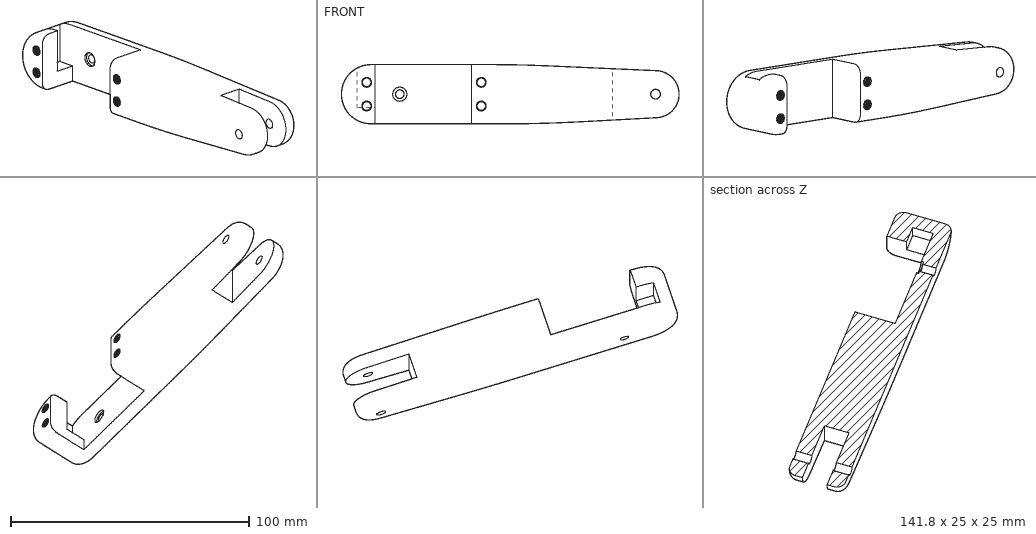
import cadquery as cq
import math

length = 141.8
width = 25.0
height = 25.0
edge_fillet = 4.0

butt_radius = height / 2
tip_radius = 9.9
butt_x = butt_radius
tip_x = length - tip_radius
upper_bend_x = 74.6
lower_bend_x = 84.5
bend_radius = 531.6

back_plate = 7.1
gap_start = 14.2
gap_end = 54.7

fork_start = 113.8
fork_front = 7.1
fork_back = 7.1

pocket_start = 6.5
pocket_width = 9.0
pocket_floor_z = -5.7

fork_hole_diameter = 4.0
plate_hole_x = 24.5
plate_hole_diameter = 3.5
counterbore_diameter = 6.0
counterbore_depth = 1.0

socket_x_positions = (10.6, 58.7)
socket_z = 5.0
socket_crest_diameter = 3.5
socket_root_diameter = 4.1
socket_pitch = 0.7
socket_turns = 7

front_y = -width / 2
back_y = width / 2
plate_face_y = back_y - back_plate


def taper_points(bend_x):
    """Start and end of the bend and the tangent point on the tip, for an upper flank."""
    run = tip_x - bend_x
    rise = height / 2
    slope = math.atan2(rise, run) - math.asin(tip_radius / math.hypot(run, rise))
    tangent_length = bend_radius * math.tan(slope / 2)
    bend_start = (bend_x - tangent_length, rise)
    bend_end = (bend_x + tangent_length * math.cos(slope), rise - tangent_length * math.sin(slope))
    tip_tangent = (tip_x + tip_radius * math.sin(slope), tip_radius * math.cos(slope))
    return bend_start, bend_end, tip_tangent


def mirrored(point):
    """The point reflected below the centre line."""
    return (point[0], -point[1])


def make_body():
    """Full outline extruded over the width, with rounded front and back rims."""
    upper_start, upper_end, upper_tip = taper_points(upper_bend_x)
    lower_start, lower_end, lower_tip = [mirrored(p) for p in taper_points(lower_bend_x)]
    outline = (
        cq.Workplane("XZ", origin=(0, back_y, 0))
        .moveTo(butt_x, butt_radius)
        .lineTo(*upper_start)
        .tangentArcPoint(upper_end, relative=False)
        .lineTo(*upper_tip)
        .threePointArc((length, 0), lower_tip)
        .lineTo(*lower_end)
        .tangentArcPoint(lower_start, relative=False)
        .lineTo(butt_x, -butt_radius)
        .threePointArc((0, 0), (butt_x, butt_radius))
        .close()
    )
    return outline.extrude(width).faces("<Y or >Y").edges().fillet(edge_fillet)


def block(x_range, y_range, z_range):
    """Axis-aligned box between the given limits."""
    size = [high - low for low, high in (x_range, y_range, z_range)]
    corner = (x_range[0], y_range[0], z_range[0])
    return cq.Workplane("XY").box(*size, centered=False).translate(corner)


def bore(x, z, diameter, start_y, depth):
    """Cylinder running from start_y towards the back."""
    axis = cq.Vector(0, 1, 0)
    return cq.Workplane(cq.Solid.makeCylinder(diameter / 2, depth, cq.Vector(x, start_y, z), axis))


def threaded_socket(x, z):
    """Cutter for one socket: a bore whose wall alternates between root and crest diameter."""
    root = socket_root_diameter / 2
    crest = socket_crest_diameter / 2
    profile = cq.Workplane("XY").lineTo(root, 0)
    for turn in range(socket_turns):
        ring_start = turn * socket_pitch
        profile = profile.lineTo(crest, ring_start + socket_pitch / 2)
        profile = profile.lineTo(root, ring_start + socket_pitch)
    profile = profile.lineTo(0, socket_turns * socket_pitch).close()
    return profile.revolve(360, (0, 0), (0, 1)).translate((x, front_y, z))


full_height = (-height / 2, height / 2)

gap = block((gap_start, gap_end), (front_y, plate_face_y), full_height)
fork_slot = block((fork_start, length), (front_y + fork_front, back_y - fork_back), full_height)
pocket = block(
    (pocket_start, gap_start),
    (plate_face_y - pocket_width, plate_face_y),
    (pocket_floor_z, height / 2),
)

result = make_body().cut(gap).cut(fork_slot).cut(pocket)
result = result.cut(bore(tip_x, 0, fork_hole_diameter, front_y, width))
result = result.cut(bore(plate_hole_x, 0, plate_hole_diameter, plate_face_y, back_plate))
result = result.cut(bore(plate_hole_x, 0, counterbore_diameter, plate_face_y, counterbore_depth))

for x in socket_x_positions:
    for z in (-socket_z, socket_z):
        result = result.cut(threaded_socket(x, z))